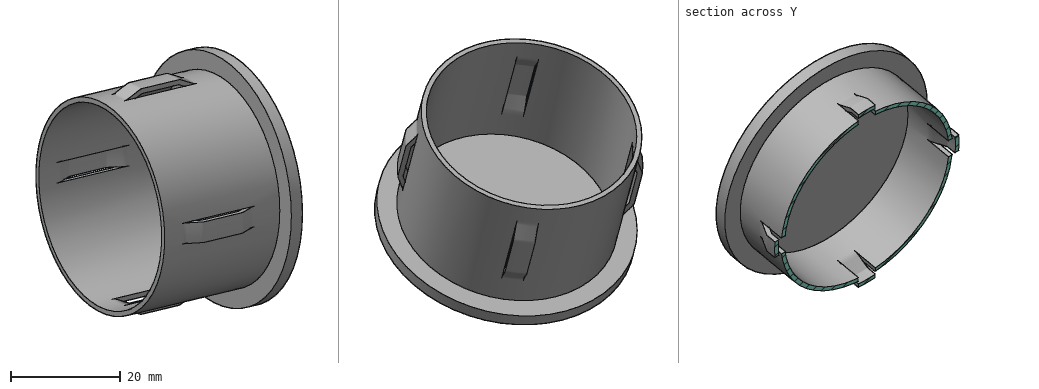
import cadquery as cq
import math


total_length = 28.2
flange_diameter = 48.3
flange_thickness = 2.5
plug_radius = 20.5
wall = 0.95
plug_length = total_length - flange_thickness
bore_radius = plug_radius - wall

strip_count = 4
strip_width = 4.0
strip_to_open_end = 12.05
strip_length = 16.05
strip_center_y = strip_to_open_end - plug_length
strip_rise = 1.55
slope_angle = math.radians(25.0)
base_bend_radius = 1.65
crest_bend_radius = 1.35
window_depth = 2 * plug_radius


def half_surface(offset):
    """Points of half a strip surface, from its base to its flat crest, as (distance from middle, radius).

    The offset is the depth below the outer surface; both bends stay concentric through the thickness.
    """
    def bend_points(radius):
        """Run and rise at the middle and at the end of a bend up to the slope angle."""
        return [(radius * math.sin(a), radius * (1 - math.cos(a))) for a in (slope_angle / 2, slope_angle)]

    base_mid, base_end = bend_points(base_bend_radius + offset)
    crest_mid, crest_end = bend_points(crest_bend_radius - offset)
    slope_rise = strip_rise - base_end[1] - crest_end[1]
    slope_run = slope_rise / math.tan(slope_angle)

    base_x = strip_length / 2
    base_r = plug_radius - offset
    crest_x = base_x - base_end[0] - slope_run - crest_end[0]
    crest_r = base_r + strip_rise
    return [
        (base_x, base_r),
        (base_x - base_mid[0], base_r + base_mid[1]),
        (base_x - base_end[0], base_r + base_end[1]),
        (crest_x + crest_end[0], crest_r - crest_end[1]),
        (crest_x + crest_mid[0], crest_r - crest_mid[1]),
        (crest_x, crest_r),
    ]


def surface_points(offset):
    """Points of a whole strip surface, from the +Y base over the crest to the -Y base."""
    half = half_surface(offset)
    mirrored = [(-x, r) for x, r in reversed(half)]
    return [(r, strip_center_y + x) for x, r in half + mirrored]


def trace_surface(outline, points):
    """Continue the outline from points[0]: bend, slope, bend, crest, bend, slope, bend."""
    for i in range(0, len(points), 3):
        if i > 0:
            outline = outline.lineTo(*points[i])
        outline = outline.threePointArc(points[i + 1], points[i + 2])
    return outline


def make_window():
    """Block that opens the plug wall around the +X strip."""
    block = cq.Workplane("XY").box(window_depth, strip_length, strip_width)
    return block.translate((window_depth / 2, strip_center_y, 0))


def make_strip():
    """Spring strip on the +X side, curved concentrically with the plug and cut to width."""
    outer = surface_points(0)
    inner = list(reversed(surface_points(wall)))
    outline = trace_surface(cq.Workplane("XY").moveTo(*outer[0]), outer)
    outline = trace_surface(outline.lineTo(*inner[0]), inner).close()
    return outline.revolve(360, (0, 0, 0), (0, 1, 0)).intersect(make_window())


flange_plane = cq.Workplane("XZ", origin=(0, flange_thickness, 0))
flange = flange_plane.circle(flange_diameter / 2).extrude(flange_thickness)
plug = cq.Workplane("XZ").circle(plug_radius).circle(bore_radius).extrude(plug_length)
result = flange.union(plug)

window = make_window()
strip = make_strip()
for i in range(strip_count):
    angle = i * 360 / strip_count
    result = result.cut(window.rotate((0, 0, 0), (0, 1, 0), angle))
    result = result.union(strip.rotate((0, 0, 0), (0, 1, 0), angle))